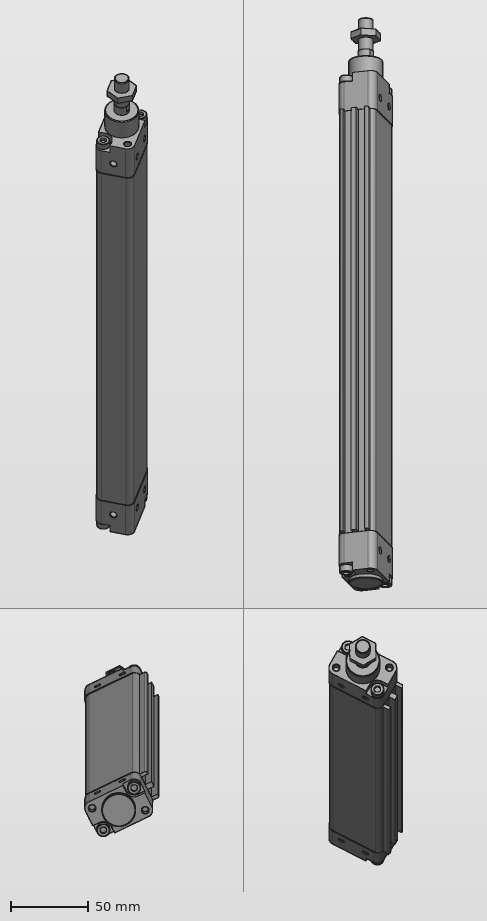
import cadquery as cq
import math

total_length = 387.5
boss_height = 2.7
head_length = 26.0
collar_height = 14.5
head_top = 345.0
tube_bottom = boss_height + head_length
tube_top = head_top - head_length
collar_top = head_top + collar_height

head_width = 26.0
head_depth = 40.0
tube_corner_radius = 4.3
tube_inset = 0.55
tube_back_shift = 0.8
head_corner_radius = tube_corner_radius + tube_inset
screw_x = head_width / 2 - head_corner_radius
screw_y = head_depth / 2 - head_corner_radius
collar_diameter = 22.0
collar_chamfer = 0.6

rail_overhang = 4.5
rail_back = head_depth / 2 + rail_overhang
outer_rail_width = 2.5
outer_rail_x = 8.5
middle_rail_width = 3.5
rail_rounding = 1.0

pocket_radius = 6.0
top_pocket_depth = 6.0
bottom_pocket_depth = 5.5
screw_head_diameter = 8.5
screw_head_chamfer = 0.5
screw_head_sink = 0.8
screw_neck_diameter = 4.3
screw_neck_height = 0.8
socket_diameter = 4.3
socket_depth = 2.5

port_hole = (4.3, 5.0, 6.0)
mount_hole = (3.15, 4.5, 4.5)
port_offset = 15.5
mount_hole_y = 9.0

rod_diameter = 10.0
rod_bottom = tube_top
thread_diameter = 9.5
thread_bottom = 365.8
thread_chamfer = 0.6
rod_flat_width = 9.3
rod_flat_bottom = 361.0
rod_flat_angle = -15.0
nut_sides = 6
nut_width = 17.0
nut_bottom = 374.0
nut_top = 378.5


def rounded_block(corner_radius, bottom, top, back_shift=0.0):
    """Upright block rounded about the tie screws, its back face moved out by back_shift."""
    width = 2 * (screw_x + corner_radius)
    depth = 2 * (screw_y + corner_radius) + back_shift
    outline = cq.Workplane("XY", origin=(0, back_shift / 2, bottom)).rect(width, depth)
    block = outline.extrude(top - bottom)
    return block.edges("|Z").fillet(corner_radius)


def cylinder(diameter, bottom, top):
    """Cylinder on the rod axis between two heights."""
    return cq.Workplane("XY", origin=(0, 0, bottom)).circle(diameter / 2).extrude(top - bottom)


def rail(x, width):
    """One rail along the whole tube, starting inside the tube wall."""
    middle_y = (screw_y + rail_back) / 2
    outline = cq.Workplane("XY", origin=(x, middle_y, tube_bottom)).rect(width, rail_back - screw_y)
    return outline.extrude(tube_top - tube_bottom)


def threaded_hole(sizes, mouth, direction):
    """Blind hole with a conical mouth, to be cut from a face."""
    core, mouth_diameter, depth = sizes
    mouth_depth = (mouth_diameter - core) / 2
    axis = cq.Vector(*direction)
    start = cq.Vector(*mouth)
    bore = cq.Solid.makeCylinder(core / 2, depth, start, axis)
    cone = cq.Solid.makeCone(mouth_diameter / 2, core / 2, mouth_depth, start, axis)
    return cq.Workplane(bore).union(cq.Workplane(cone))


def corner_pocket(side_x, side_y, bottom, top):
    """Corner recess open to both outer faces, its inner wall round about the tie screw."""
    x = side_x * screw_x
    y = side_y * screw_y
    out_x = side_x * pocket_radius
    out_y = side_y * pocket_radius
    middle = -pocket_radius * math.sqrt(0.5)
    return (
        cq.Workplane("XY", origin=(x, y, bottom))
        .moveTo(out_x, out_y)
        .lineTo(out_x, -out_y)
        .lineTo(0, -out_y)
        .threePointArc((side_x * middle, side_y * middle), (-out_x, 0))
        .lineTo(-out_x, out_y)
        .close()
        .extrude(top - bottom)
    )


def screw_head(side_x, side_y, seat, outward, height):
    """Socket head of a tie screw on a short neck, standing on its seat towards outward."""
    seat_plane = cq.Plane(
        origin=(side_x * screw_x, side_y * screw_y, seat),
        xDir=(1, 0, 0),
        normal=(0, 0, outward),
    )
    ground = cq.Workplane(seat_plane)
    neck = ground.circle(screw_neck_diameter / 2).extrude(screw_neck_height)
    head = (
        ground.workplane(offset=screw_neck_height)
        .circle(screw_head_diameter / 2)
        .extrude(height - screw_neck_height)
    )
    outer_face = ">Z" if outward > 0 else "<Z"
    head = head.faces(outer_face).chamfer(screw_head_chamfer)
    socket = ground.workplane(offset=height).circle(socket_diameter / 2).extrude(-socket_depth)
    return neck.union(head).cut(socket)


def make_barrel():
    """Tube with its rails, the two heads, the collar and the boss."""
    body = rounded_block(tube_corner_radius, tube_bottom, tube_top, tube_back_shift)
    body = body.union(rail(0, middle_rail_width))
    for side in (-1, 1):
        outer_rail = rail(side * outer_rail_x, outer_rail_width)
        outer_edge = ">Y and <X" if side < 0 else ">Y and >X"
        body = body.union(outer_rail.edges("|Z").edges(outer_edge).fillet(rail_rounding))
    body = body.union(rounded_block(head_corner_radius, boss_height, tube_bottom))
    body = body.union(rounded_block(head_corner_radius, tube_top, head_top))
    body = body.union(cylinder(collar_diameter, 0, boss_height).faces("<Z").chamfer(collar_chamfer))
    body = body.union(cylinder(collar_diameter, head_top, collar_top).faces(">Z").chamfer(collar_chamfer))
    return body


def add_tie_screws(body):
    """Screw heads in pockets at two opposite corners of each end, threaded holes at the others."""
    top_floor = head_top - top_pocket_depth
    bottom_floor = boss_height + bottom_pocket_depth
    for side in (-1, 1):
        body = body.cut(corner_pocket(side, side, top_floor, head_top))
        body = body.cut(corner_pocket(side, side, boss_height, bottom_floor))
        body = body.union(screw_head(side, side, top_floor, 1, top_pocket_depth - screw_head_sink))
        body = body.union(screw_head(side, side, bottom_floor, -1, bottom_pocket_depth))
        x = side * screw_x
        y = -side * screw_y
        body = body.cut(threaded_hole(port_hole, (x, y, head_top), (0, 0, -1)))
        body = body.cut(threaded_hole(port_hole, (x, y, boss_height), (0, 0, 1)))
    return body


def cut_head_holes(body):
    """Cut the air port in the front and mounting holes in both sides of each head."""
    front = -head_depth / 2
    side_face = head_width / 2
    for z in (boss_height + port_offset, head_top - port_offset):
        body = body.cut(threaded_hole(port_hole, (0, front, z), (0, 1, 0)))
        for side in (-1, 1):
            for y in (-mount_hole_y, mount_hole_y):
                body = body.cut(threaded_hole(mount_hole, (side * side_face, y, z), (-side, 0, 0)))
    return body


def make_housing():
    """Pneumatic cylinder housing with the blind bore for the rod."""
    body = cut_head_holes(add_tie_screws(make_barrel()))
    return body.cut(cylinder(rod_diameter, rod_bottom, collar_top))


def make_rod():
    """Piston rod with two wrench flats below its threaded end."""
    thread = cylinder(thread_diameter, thread_bottom, total_length).faces(">Z").chamfer(thread_chamfer)
    rod = cylinder(rod_diameter, rod_bottom, thread_bottom).union(thread)
    flat_zone = cylinder(rod_diameter, rod_flat_bottom, thread_bottom)
    flats = (
        cq.Workplane("XY", origin=(0, 0, rod_flat_bottom))
        .rect(rod_flat_width, 2 * rod_diameter)
        .extrude(thread_bottom - rod_flat_bottom)
        .rotate((0, 0, 0), (0, 0, 1), rod_flat_angle)
    )
    return rod.cut(flat_zone.cut(flats))


def make_nut():
    """Hexagon lock nut, two of its flats facing along X."""
    across_corners = nut_width / math.cos(math.pi / nut_sides)
    nut = (
        cq.Workplane("XY", origin=(0, 0, nut_bottom))
        .polygon(nut_sides, across_corners)
        .extrude(nut_top - nut_bottom)
        .rotate((0, 0, 0), (0, 0, 1), 180 / nut_sides)
    )
    return nut.cut(cylinder(thread_diameter, nut_bottom, nut_top))


housing = make_housing()
rod = make_rod()
nut = make_nut()
result = cq.Compound.makeCompound([housing.val(), rod.val(), nut.val()])